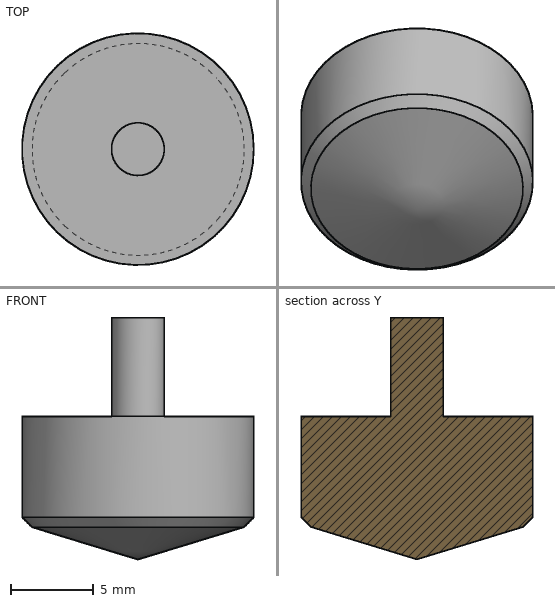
import cadquery as cq

total_height = 14.7
body_diameter = 14.1
pin_diameter = 3.2
pin_length = 6.0
chamfer_size = 0.6
cone_height = 1.97

body_radius = body_diameter / 2
pin_radius = pin_diameter / 2
cone_radius = body_radius - chamfer_size
chamfer_top = cone_height + chamfer_size
shoulder_level = total_height - pin_length

half_profile = (
    cq.Workplane("XZ")
    .moveTo(0, 0)
    .lineTo(cone_radius, cone_height)
    .lineTo(body_radius, chamfer_top)
    .lineTo(body_radius, shoulder_level)
    .lineTo(pin_radius, shoulder_level)
    .lineTo(pin_radius, total_height)
    .lineTo(0, total_height)
    .close()
)
result = half_profile.revolve(360, (0, 0, 0), (0, 1, 0))